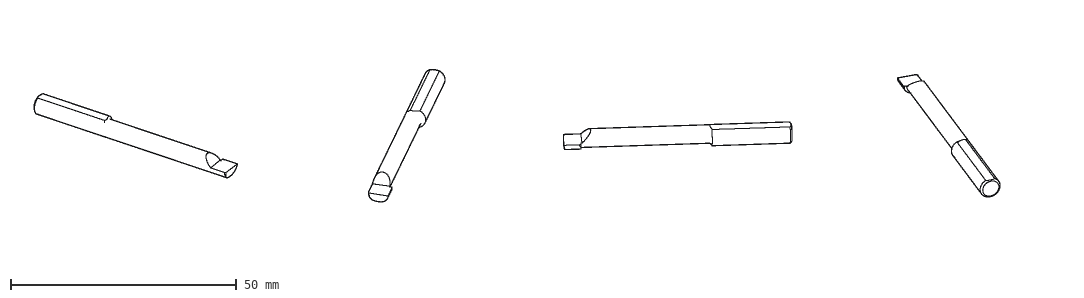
import cadquery as cq
import math

total_length = 50.8
shank_diameter = 4.8
shank_radius = shank_diameter / 2
flat_height = 2.15

shank_length = 17.8
back_chamfer_length = 0.4
back_chamfer_depth = 0.45

neck_radius = 2.1
neck_offset = -0.5
shoulder_fillet = 0.6

ramp_end = 46.7
head_start = 46.9
head_reach = 2.25
lead_length = 0.35
lead_depth = 0.15
heel_corner = 0.25
front_slant = 0.2
front_relief_angle = 8.0


def rod(radius, start, end, y=0):
    """Cylinder along X."""
    return cq.Workplane("YZ", origin=(start, y, 0)).circle(radius).extrude(end - start)


def make_shank_envelope():
    """Full-length shank cylinder with its back chamfer and top flat."""
    chamfer_radius = shank_radius - back_chamfer_depth
    body = (
        cq.Workplane("XY")
        .moveTo(0, 0)
        .lineTo(0, chamfer_radius)
        .lineTo(back_chamfer_length, shank_radius)
        .lineTo(total_length, shank_radius)
        .lineTo(total_length, 0)
        .close()
        .revolve(360, (0, 0, 0), (1, 0, 0))
    )
    below_flat = cq.Workplane("XY").box(
        total_length, shank_diameter, shank_radius + flat_height, centered=(False, True, False)
    ).translate((0, 0, -shank_radius))
    return body.intersect(below_flat)


def make_neck_envelope():
    """Body of revolution on the neck axis, flaring into the shank through a concave fillet."""
    flare_radius = neck_radius + shoulder_fillet
    outer_radius = shank_diameter
    fillet_end = shank_length + shoulder_fillet
    diagonal = shoulder_fillet * (1 - math.sqrt(0.5))
    return (
        cq.Workplane("XY", origin=(0, neck_offset, 0))
        .moveTo(0, 0)
        .lineTo(0, outer_radius)
        .lineTo(shank_length, outer_radius)
        .lineTo(shank_length, flare_radius)
        .threePointArc(
            (shank_length + diagonal, neck_radius + diagonal),
            (fillet_end, neck_radius),
        )
        .lineTo(total_length, neck_radius)
        .lineTo(total_length, 0)
        .close()
        .revolve(360, (0, 0, 0), (1, 0, 0))
    )


def make_head():
    """Overhang that carries the cutting corner, rounded like the neck underneath."""
    head_axis = head_reach - neck_radius
    overhang = rod(neck_radius, head_start, total_length, head_axis)
    web = cq.Workplane("XY").box(
        total_length - head_start, head_axis - neck_offset, 2 * neck_radius,
        centered=(False, False, True),
    ).translate((head_start, neck_offset, 0))
    lead_cutter = (
        cq.Workplane("XY")
        .moveTo(head_start, head_reach - lead_depth)
        .lineTo(head_start + lead_length, head_reach)
        .lineTo(head_start, head_reach)
        .close()
        .extrude(neck_radius, both=True)
    )
    return overhang.union(web).cut(lead_cutter)


def make_rake_cutter():
    """Removes the upper half of the bar behind a 45 degree ramp."""
    height = shank_diameter
    return (
        cq.Workplane("XZ")
        .moveTo(ramp_end, 0)
        .lineTo(total_length, 0)
        .lineTo(total_length, height)
        .lineTo(ramp_end - height, height)
        .close()
        .extrude(shank_diameter, both=True)
    )


def make_front_cutter():
    """Slants the front face, breaks its heel corner and undercuts it for relief."""
    heel_y = -shank_radius
    heel_x = total_length - front_slant
    drop = shank_diameter
    setback = drop * math.tan(math.radians(front_relief_angle))
    clear_x = total_length + shank_diameter

    def section(z, shift):
        points = [
            (total_length - shift, head_reach),
            (heel_x - shift, heel_y + heel_corner),
            (heel_x - heel_corner - shift, heel_y),
            (clear_x, heel_y),
            (clear_x, head_reach),
        ]
        return cq.Wire.makePolygon([cq.Vector(x, y, z) for x, y in points], close=True)

    return cq.Workplane(cq.Solid.makeLoft([section(0, 0), section(-drop, setback)], True))


bar = make_shank_envelope().intersect(make_neck_envelope())
result = (
    bar.union(make_head())
    .cut(make_rake_cutter())
    .cut(make_front_cutter())
)